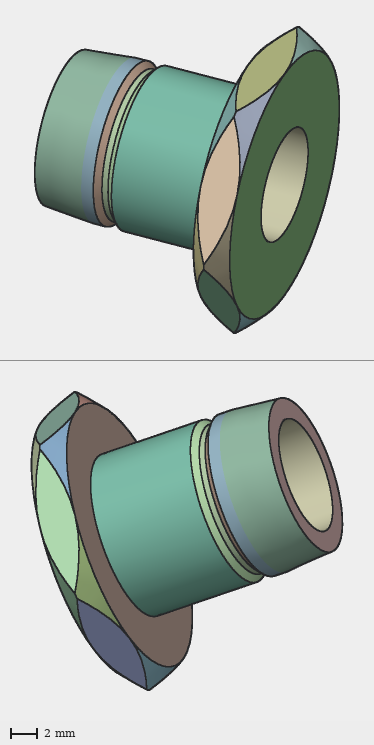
import cadquery as cq

total_length = 18.0
bore_diameter = 9.0
sleeve_diameter = 13.0

tip_diameter = 12.3
taper_length = 4.0

land_length = 1.0
groove_diameter = 12.0
groove_side_length = 0.5
groove_floor_length = 0.5

flange_thickness = 3.0
across_flats = 21.0
flat_to_corner_angle = 30.0

flange_start = total_length - flange_thickness
groove_start = taper_length + land_length
floor_start = groove_start + groove_side_length
floor_end = floor_start + groove_floor_length
groove_end = floor_end + groove_side_length
sleeve_radius = sleeve_diameter / 2
groove_radius = groove_diameter / 2
face_radius = across_flats / 2
ridge_radius = face_radius + flange_thickness / 2


def revolve_about_x(profile):
    """Revolve an (axial position, radius) profile around the X axis."""
    return cq.Workplane("XZ").polyline(profile).close().revolve(360, (0, 0, 0), (1, 0, 0))


def make_sleeve():
    """Solid sleeve with tapered tip and snap groove, reaching the flange's outer face."""
    return revolve_about_x([
        (0, 0),
        (0, tip_diameter / 2),
        (taper_length, sleeve_radius),
        (groove_start, sleeve_radius),
        (floor_start, groove_radius),
        (floor_end, groove_radius),
        (groove_end, sleeve_radius),
        (total_length, sleeve_radius),
        (total_length, 0),
    ])


def make_flange():
    """Hexagon with flats at top and bottom, its corners trimmed by a double cone."""
    hexagon = (
        cq.Workplane("YZ")
        .workplane(offset=flange_start)
        .transformed(rotate=(0, 0, flat_to_corner_angle))
        .polygon(6, across_flats, circumscribed=True)
        .extrude(flange_thickness)
    )
    double_cone = revolve_about_x([
        (flange_start, 0),
        (flange_start, face_radius),
        (flange_start + flange_thickness / 2, ridge_radius),
        (total_length, face_radius),
        (total_length, 0),
    ])
    return hexagon.intersect(double_cone)


def make_bore():
    """Through bore along the axis."""
    return cq.Workplane("YZ").circle(bore_diameter / 2).extrude(total_length)


result = make_sleeve().union(make_flange()).cut(make_bore())